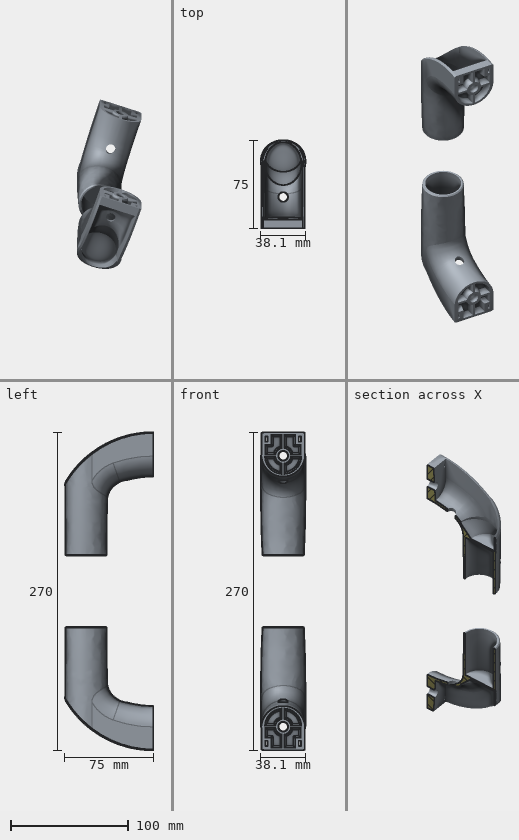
import cadquery as cq
import math

pair_height = 270.0
elbow_reach = 75.0
top_z = pair_height / 2
tube_end_z = 30.0

arm_half_width = 18.5
arm_belly_depth = 17.6
arm_axis_z = top_z - 20.1
gentle_radius = 103.0
gentle_angle = 19.5
tight_radius = 33.5
section_height = 26.0

back_arc_drop = 43.3
back_radius = (elbow_reach**2 + back_arc_drop**2) / (2 * back_arc_drop)
rim_bevel_depth = 0.8
rim_bevel_width = 1.75
rim_width = 1.8

tube_half_width = 19.03
tube_half_depth = 18.1
tube_end_radius = 17.6
tube_end_chamfer = 1.0
tube_waist_half_width = 18.6
tube_waist_half_depth = 17.7
tube_waist_z = top_z - 80.0
tube_elbow_z = top_z - 50.0
tube_axis_y = elbow_reach - tube_half_depth
tube_back_lean = 0.3
tube_sections = [
    (tube_end_radius, tube_end_radius, elbow_reach - tube_back_lean, tube_end_z),
    (tube_waist_half_width, tube_waist_half_depth, elbow_reach - tube_back_lean / 2, tube_waist_z),
    (tube_half_width, tube_half_depth, elbow_reach, tube_elbow_z),
    (tube_half_width, tube_half_depth, elbow_reach, top_z),
]
bore_radius = 15.2

end_block = 9.7
end_block_draft = 2.2
pocket_half_width = 15.2
pocket_belly_depth = arm_belly_depth - (arm_half_width - pocket_half_width)
pocket_mouth_half_width = arm_half_width - rim_width
well_back_y = elbow_reach - rim_width
well_half_width = 15.5
well_slope_front_y = 36.8
well_floor_front_y = 48.1
well_slope_z = top_z - 45.5
well_floor_z = top_z - 57.0
web_thickness = 2.0

hole_diameter = 8.0
cross_hole_y = 26.7
slot_width = 1.7
slot_height = 4.2
slot_x = 14.2
slot_rise = 14.2
recess_depth = 6.0
recess_draft = 15.0
rib_half_width = 1.0
hub_radius = 6.7
recess_outer_radius = 15.5
recess_top = 17.9
recess_step_x = 10.1
recess_step_z = 9.3
recess_side_x = 15.0

turn = math.radians(gentle_angle)
gentle_center_z = arm_axis_z - gentle_radius
joint_y = gentle_radius * math.sin(turn)
joint_z = gentle_center_z + gentle_radius * math.cos(turn)


def d_section(plane, half_width, belly_depth, mouth_half_width):
    """D outline around the arm axis: round below, sides leaning out to the mouth above."""
    return (
        cq.Workplane(plane)
        .moveTo(-half_width, 0)
        .threePointArc((0, -belly_depth), (half_width, 0))
        .lineTo(mouth_half_width, section_height)
        .lineTo(-mouth_half_width, section_height)
        .close()
    )


def bent_bar(half_width, belly_depth, mouth_half_width):
    """Both bends of the arm with one D section, trimmed at the tube axis."""
    start = cq.Plane(origin=(0, 0, arm_axis_z), xDir=(1, 0, 0), normal=(0, -1, 0))
    joint = cq.Plane(
        origin=(0, joint_y, joint_z),
        xDir=(1, 0, 0),
        normal=(0, -math.cos(turn), math.sin(turn)),
    )
    gentle = d_section(start, half_width, belly_depth, mouth_half_width).revolve(
        gentle_angle, (0, -gentle_radius), (-1, -gentle_radius)
    )
    tight = d_section(joint, half_width, belly_depth, mouth_half_width).revolve(
        90 - gentle_angle, (0, -tight_radius), (-1, -tight_radius)
    )
    in_front = cq.Workplane("XY").box(
        pair_height, tube_axis_y, pair_height, centered=(True, False, False)
    )
    return gentle.union(tight).intersect(in_front)


def ellipse_at(y_front, y_back, half_width, z):
    """Elliptical wire in a horizontal plane."""
    middle = cq.Vector(0, (y_front + y_back) / 2, z)
    return cq.Wire.makeEllipse(
        half_width, (y_back - y_front) / 2, middle, cq.Vector(0, 0, 1), cq.Vector(1, 0, 0)
    )


def loft_up(lower, upper, top):
    """Ruled loft between two ellipses, continued straight up to the given height."""
    taper = cq.Workplane(cq.Solid.makeLoft([lower, upper], True))
    rise = cq.Vector(0, 0, top - upper.Center().z)
    return taper.union(cq.Workplane(cq.Solid.extrudeLinear(upper, [], rise)))


def tube():
    sections = [
        ellipse_at(back_y - 2 * half_depth, back_y, half_width, z)
        for half_width, half_depth, back_y, z in tube_sections
    ]
    body = cq.Workplane(cq.Solid.makeLoft(sections))
    return body.faces("<Z").chamfer(tube_end_chamfer)


def below_back_arc():
    """Cylinder across X whose upper side is the back arc."""
    return (
        cq.Workplane("YZ", origin=(0, 0, top_z - back_radius))
        .circle(back_radius)
        .extrude(pair_height, both=True)
    )


def outer_shape():
    body = bent_bar(arm_half_width, arm_belly_depth, arm_half_width).union(tube())
    return body.intersect(below_back_arc())


def bevel_rim(body):
    """Slope the upper face down to its outer edge, all round except at the mounting face."""
    upper_face = body.faces(cq.selectors.NearestToPointSelector((0, cross_hole_y, top_z))).val()
    rim_edges = [edge for edge in upper_face.Edges() if edge.Center().y > rim_width]
    solid = body.solids().val()
    return cq.Workplane(solid.chamfer(rim_bevel_depth, rim_bevel_width, rim_edges))


def pocket():
    hollow = bent_bar(pocket_half_width, pocket_belly_depth, pocket_mouth_half_width)
    clear_of_block = (
        cq.Workplane("YZ")
        .moveTo(end_block - end_block_draft, top_z)
        .lineTo(end_block, arm_axis_z - arm_half_width)
        .lineTo(end_block, well_slope_z)
        .lineTo(elbow_reach, well_slope_z)
        .lineTo(elbow_reach, top_z)
        .close()
        .extrude(arm_half_width, both=True)
    )
    floor = ellipse_at(well_floor_front_y, well_back_y, well_half_width, well_floor_z)
    slope = ellipse_at(well_slope_front_y, well_back_y, well_half_width, well_slope_z)
    return hollow.intersect(clear_of_block).union(loft_up(floor, slope, top_z))


def mounting_plane():
    """Mounting face, centred on the arm axis, with its normal pointing into the block."""
    return cq.Plane(origin=(0, 0, arm_axis_z), xDir=(-1, 0, 0), normal=(0, 1, 0))


def hub_point(offset, radius):
    """Distance along a rib edge at which it meets a circle around the hub."""
    return math.sqrt(radius**2 - offset**2)


def upper_recess():
    near = hub_point(rib_half_width, hub_radius)
    middle = hub_radius * math.sqrt(0.5)
    return (
        cq.Workplane(mounting_plane())
        .moveTo(near, rib_half_width)
        .lineTo(recess_side_x, rib_half_width)
        .lineTo(recess_side_x, recess_step_z)
        .lineTo(recess_step_x, recess_step_z)
        .lineTo(recess_step_x, recess_top)
        .lineTo(rib_half_width, recess_top)
        .lineTo(rib_half_width, near)
        .threePointArc((middle, middle), (near, rib_half_width))
        .close()
        .extrude(recess_depth, taper=recess_draft)
    )


def lower_recess():
    near = hub_point(rib_half_width, hub_radius)
    far = hub_point(rib_half_width, recess_outer_radius)
    middle = hub_radius * math.sqrt(0.5)
    outer_middle = recess_outer_radius * math.sqrt(0.5)
    return (
        cq.Workplane(mounting_plane())
        .moveTo(near, -rib_half_width)
        .lineTo(far, -rib_half_width)
        .threePointArc((outer_middle, -outer_middle), (rib_half_width, -far))
        .lineTo(rib_half_width, -near)
        .threePointArc((middle, -middle), (near, -rib_half_width))
        .close()
        .extrude(recess_depth, taper=recess_draft)
    )


def cut_mounting_face(body):
    for recess in (upper_recess(), lower_recess()):
        body = body.cut(recess).cut(recess.mirror("YZ"))
    axial_hole = cq.Workplane(mounting_plane()).circle(hole_diameter / 2).extrude(end_block)
    slots = (
        cq.Workplane(mounting_plane())
        .pushPoints([(-slot_x, slot_rise), (slot_x, slot_rise)])
        .rect(slot_width, slot_height)
        .extrude(end_block)
    )
    return body.cut(axial_hole).cut(slots)


def elbow():
    body = bevel_rim(outer_shape()).cut(pocket())
    bore_depth = well_floor_z - web_thickness - tube_end_z
    bore = (
        cq.Workplane("XY", origin=(0, tube_axis_y, tube_end_z))
        .circle(bore_radius)
        .extrude(bore_depth)
    )
    cross_hole = (
        cq.Workplane("XY", origin=(0, cross_hole_y, tube_end_z))
        .circle(hole_diameter / 2)
        .extrude(top_z - tube_end_z)
    )
    return cut_mounting_face(body.cut(bore).cut(cross_hole))


upper_elbow = elbow()
lower_elbow = upper_elbow.mirror("XY")
result = cq.Compound.makeCompound([upper_elbow.solids().val(), lower_elbow.solids().val()])